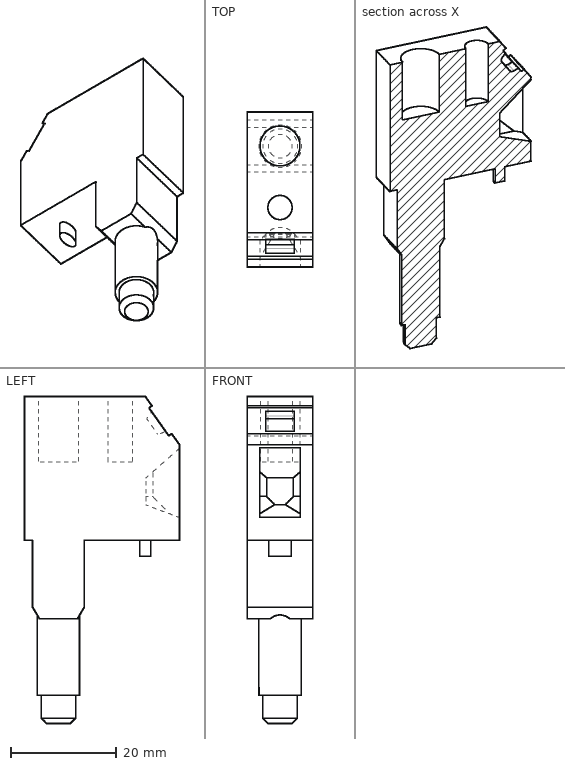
import cadquery as cq

width = 12.5
depth = 29.5
height = 62.2
housing_bottom = 34.85
overcut = 0.6

slope_top_y = 6.5
slope_bottom_z = 53.0
slope_drop = height - slope_bottom_z

groove_start = 2.25
groove_end = 8.7
groove_depth = 0.7
window_start = 3.05
window_end = 7.65
window_width = 5.4
window_upper_depth = 1.0
window_upper_lean = 0.25
window_lower_depth = 0.55
window_lower_lean = 0.3

plug_y = 23.0
stem_depth = 9.9
stem_bottom = 19.9
stem_taper_height = 2.25
stem_taper_inset = 1.35
plug_diameter = 8.1
plug_bottom = 5.4
tip_diameter = 6.6
tip_chamfer = 1.05

pin_width = 4.2
pin_depth = 2.1
pin_length = 3.05
pin_y = 6.5

screw_hole_diameter = 7.6
test_hole_diameter = 4.6
test_hole_y = 11.3
hole_depth = 12.45

funnel_width = 7.8
funnel_top = 52.45
funnel_bottom = 39.2
funnel_depth = 6.45
funnel_back_top = 46.7
funnel_back_bottom = 41.6
funnel_back_width = 5.1
funnel_taper_start = funnel_depth - (funnel_width - funnel_back_width) / 2
funnel_corner_z = 43.15


def side_prism(points, prism_width):
    """Extrude a (Y, Z) outline symmetrically about X = 0."""
    return cq.Workplane("YZ").polyline(points).close().extrude(prism_width / 2, both=True)


def vertical_cylinder(diameter, y, bottom, top):
    return cq.Workplane("XY", origin=(0, y, bottom)).circle(diameter / 2).extrude(top - bottom)


def make_housing():
    return side_prism(
        [
            (0, housing_bottom),
            (depth, housing_bottom),
            (depth, height),
            (slope_top_y, height),
            (0, slope_bottom_z),
        ],
        width,
    )


def slope_prism(points, prism_width):
    """Extrude an outline of (distance down the slope, height off the shoulder) points along X."""
    profile_plane = cq.Plane(
        origin=(0, slope_top_y, height),
        xDir=(0, -slope_top_y, -slope_drop),
        normal=(1, 0, 0),
    )
    outline = [(distance, -rise) for distance, rise in points]
    return cq.Workplane(profile_plane).polyline(outline).close().extrude(prism_width / 2, both=True)


def make_groove():
    return slope_prism(
        [
            (groove_start, overcut),
            (groove_start, -groove_depth),
            (groove_end, -groove_depth),
            (groove_end, overcut),
        ],
        width + 2 * overcut,
    )


def make_window():
    break_rise = -groove_depth - window_upper_depth
    floor_rise = break_rise - window_lower_depth
    floor_lean = window_upper_lean + window_lower_lean
    return slope_prism(
        [
            (window_start, -groove_depth),
            (window_start + window_upper_lean, break_rise),
            (window_start + floor_lean, floor_rise),
            (window_end - floor_lean, floor_rise),
            (window_end - window_upper_lean, break_rise),
            (window_end, -groove_depth),
        ],
        window_width,
    )


def make_stem():
    half = stem_depth / 2
    foot = half - stem_taper_inset
    taper_top = stem_bottom + stem_taper_height
    return side_prism(
        [
            (plug_y - half, housing_bottom),
            (plug_y - half, taper_top),
            (plug_y - foot, stem_bottom),
            (plug_y + foot, stem_bottom),
            (plug_y + half, taper_top),
            (plug_y + half, housing_bottom),
        ],
        width,
    )


def make_plug():
    barrel = vertical_cylinder(plug_diameter, plug_y, plug_bottom, housing_bottom)
    tip = vertical_cylinder(tip_diameter, plug_y, 0, plug_bottom)
    return barrel.union(tip.faces("<Z").chamfer(tip_chamfer))


def make_pin():
    return (
        cq.Workplane("XY", origin=(0, pin_y, housing_bottom))
        .ellipse(pin_width / 2, pin_depth / 2)
        .extrude(-pin_length)
    )


def make_funnel():
    funnel = side_prism(
        [
            (0, funnel_bottom),
            (funnel_depth, funnel_back_bottom),
            (funnel_depth, funnel_back_top),
            (0, funnel_top),
        ],
        funnel_width,
    )
    half = funnel_width / 2
    back_half = funnel_back_width / 2
    plan = (
        cq.Workplane("XY")
        .polyline(
            [
                (-half, 0),
                (half, 0),
                (half, funnel_taper_start),
                (back_half, funnel_depth),
                (-back_half, funnel_depth),
                (-half, funnel_taper_start),
            ]
        )
        .close()
        .extrude(height)
    )
    funnel = funnel.intersect(plan)
    for side in (-1, 1):
        facet = cq.Plane(
            origin=(side * half, funnel_taper_start, funnel_corner_z),
            xDir=(0, 1, 1),
            normal=(side, 1, -1),
        )
        corner = cq.Workplane(facet).rect(depth, depth).extrude(depth)
        funnel = funnel.cut(corner)
    return funnel


result = make_housing().union(make_stem()).union(make_plug()).union(make_pin())
result = result.cut(make_groove()).cut(make_window())
result = result.cut(make_funnel())
for diameter, hole_y in ((screw_hole_diameter, plug_y), (test_hole_diameter, test_hole_y)):
    result = result.cut(vertical_cylinder(diameter, hole_y, height - hole_depth, height))